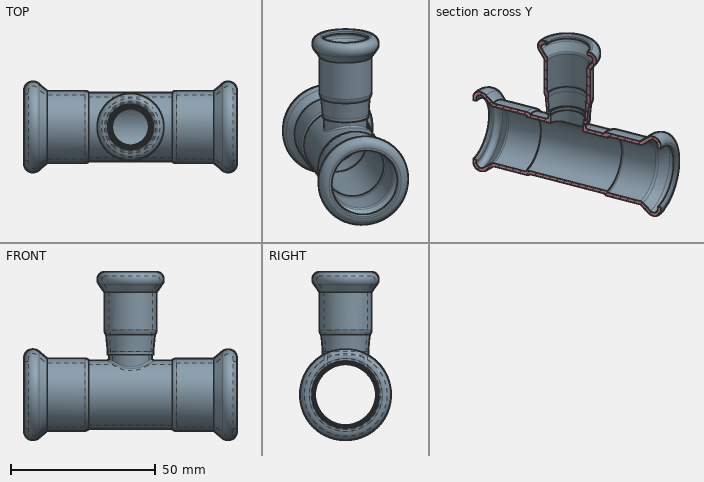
import cadquery as cq
import math

run_length = 74.0
run_pipe_diameter = 24.0
run_pipe_bore = 21.0

branch_mouth_height = 42.7
branch_neck_top_diameter = 17.1
branch_neck_bottom_diameter = 16.0
branch_neck_top_bore = 14.5
branch_neck_bottom_bore = 14.1
branch_foot_bore = 13.0
branch_foot_height = 1.3

stub_diameter = 15.0
stub_bore = 12.6
stub_top = 13.8
stub_fillet = 0.7
selection_margin = 0.2

wall = 1.5
lip_edge_radius = 0.4
groove_blend_radius = 1.5
shoulder_corner_radius = 0.3

run_socket = dict(
    bead_diameter=31.7,
    bead_radius=3.15,
    lip_bore=23.2,
    tube_diameter=25.3,
    bore=22.2,
    cone_end_depth=8.1,
    shoulder_depth=21.1,
    step_length=1.45,
)
branch_socket = dict(
    bead_diameter=23.2,
    bead_radius=2.75,
    lip_bore=15.8,
    tube_diameter=18.3,
    bore=15.2,
    cone_end_depth=7.1,
    shoulder_depth=20.1,
    step_length=1.8,
)


def add_arc(profile, centre, radius, start_angle, end_angle):
    """Add an arc about a centre, with angles in radians from the radial direction."""
    middle_angle = (start_angle + end_angle) / 2
    points = [
        (centre[0] + radius * math.cos(angle), centre[1] + radius * math.sin(angle))
        for angle in (middle_angle, end_angle)
    ]
    return profile.threePointArc(*points)


def press_socket(sizes, mouth, pipe_outside, pipe_inside):
    """Revolve a press socket about Z with its mouth facing up at the given height.

    pipe_outside and pipe_inside list the (radius, height) points of the pipe below the socket,
    from the socket downward.
    """
    tube_radius = sizes["tube_diameter"] / 2
    bore_radius = sizes["bore"] / 2
    lip_radius = sizes["lip_bore"] / 2
    bead_radius = sizes["bead_radius"]
    groove_radius = bead_radius - wall
    bead_centre = (sizes["bead_diameter"] / 2 - bead_radius, mouth - bead_radius)
    cone_end = (tube_radius, mouth - sizes["cone_end_depth"])
    shoulder = mouth - sizes["shoulder_depth"]

    reach_radial = cone_end[0] - bead_centre[0]
    reach_axial = bead_centre[1] - cone_end[1]
    reach = math.hypot(reach_radial, reach_axial)
    cone_tilt = math.asin(bead_radius / reach) - math.atan2(reach_radial, reach_axial)

    step_drop = tube_radius - pipe_outside[0][0]
    step_radius = (sizes["step_length"] ** 2 + step_drop**2) / (2 * step_drop)
    step_angle = math.asin(sizes["step_length"] / step_radius)

    blend_radial = bore_radius + groove_blend_radius
    blend_offset = groove_radius + groove_blend_radius
    blend_drop = (
        blend_offset - (blend_radial - bead_centre[0]) * math.cos(cone_tilt)
    ) / math.sin(cone_tilt)
    blend_centre = (blend_radial, bead_centre[1] - blend_drop)
    blend_start = (
        blend_centre[0] - groove_blend_radius * math.cos(cone_tilt),
        blend_centre[1] + groove_blend_radius * math.sin(cone_tilt),
    )

    profile = cq.Workplane("XZ").moveTo(*pipe_inside[-1])
    for point in reversed(pipe_outside):
        profile = profile.lineTo(*point)
    step_centre = (tube_radius - step_radius, shoulder)
    profile = add_arc(profile, step_centre, step_radius, -step_angle, 0)
    profile = profile.lineTo(*cone_end)
    profile = profile.lineTo(
        bead_centre[0] + bead_radius * math.cos(cone_tilt),
        bead_centre[1] - bead_radius * math.sin(cone_tilt),
    )
    profile = add_arc(profile, bead_centre, bead_radius, -cone_tilt, math.pi / 2)

    lip_edge_centre = (lip_radius + lip_edge_radius, mouth - lip_edge_radius)
    profile = profile.lineTo(lip_edge_centre[0], mouth)
    profile = add_arc(profile, lip_edge_centre, lip_edge_radius, math.pi / 2, math.pi)
    back_edge_centre = (lip_edge_centre[0], mouth - wall + lip_edge_radius)
    profile = profile.lineTo(lip_radius, back_edge_centre[1])
    profile = add_arc(profile, back_edge_centre, lip_edge_radius, math.pi, 3 * math.pi / 2)
    profile = profile.lineTo(bead_centre[0], mouth - wall)
    profile = add_arc(profile, bead_centre, groove_radius, math.pi / 2, -cone_tilt)
    profile = profile.lineTo(*blend_start)
    profile = add_arc(profile, blend_centre, groove_blend_radius, math.pi - cone_tilt, math.pi)

    corner_centre = (bore_radius - shoulder_corner_radius, shoulder + shoulder_corner_radius)
    profile = profile.lineTo(bore_radius, corner_centre[1])
    profile = add_arc(profile, corner_centre, shoulder_corner_radius, 0, -math.pi / 2)
    for point in [(pipe_inside[0][0], shoulder)] + pipe_inside:
        profile = profile.lineTo(*point)
    return profile.close().revolve(360, (0, 0, 0), (0, 1, 0))


def make_run():
    """Two mirrored half runs with sockets, plus the stub for the branch."""
    mouth = run_length / 2
    step_end = mouth - run_socket["shoulder_depth"] - run_socket["step_length"]
    outer_radius = run_pipe_diameter / 2
    bore_radius = run_pipe_bore / 2
    half_run = press_socket(
        run_socket,
        mouth,
        [(outer_radius, step_end), (outer_radius, 0)],
        [(bore_radius, 0)],
    )
    run = half_run.rotate((0, 0, 0), (0, 1, 0), 90)
    run = run.union(half_run.rotate((0, 0, 0), (0, 1, 0), -90))

    stub = cq.Workplane("XY").circle(stub_diameter / 2).extrude(stub_top)
    run_bore = cq.Workplane("YZ").circle(bore_radius).extrude(step_end, both=True)
    run = run.union(stub.cut(run_bore))

    saddle_bottom = math.sqrt(outer_radius**2 - (stub_diameter / 2) ** 2)
    half_width = stub_diameter / 2 + selection_margin
    saddle_box = cq.selectors.BoxSelector(
        (-half_width, -half_width, saddle_bottom - selection_margin),
        (half_width, half_width, outer_radius + selection_margin),
        boundingbox=True,
    )
    run = run.edges(saddle_box).fillet(stub_fillet)
    run = run.cut(cq.Workplane("XY").circle(stub_bore / 2).extrude(stub_top))
    return run.solids()


def make_branch():
    """Press socket with a tapered neck and a short straight foot resting on the stub.

    Inside, a ledge at the bottom of the neck narrows the bore to that of the foot.
    """
    sizes = branch_socket
    mouth = branch_mouth_height
    neck_top = mouth - sizes["shoulder_depth"] - sizes["step_length"]
    neck_bottom = stub_top + branch_foot_height
    outside = [
        (branch_neck_top_diameter / 2, neck_top),
        (branch_neck_bottom_diameter / 2, neck_bottom),
        (branch_neck_bottom_diameter / 2, stub_top),
    ]
    inside = [
        (branch_neck_top_bore / 2, neck_top),
        (branch_neck_bottom_bore / 2, neck_bottom),
        (branch_foot_bore / 2, neck_bottom),
        (branch_foot_bore / 2, stub_top),
    ]
    return press_socket(sizes, mouth, outside, inside)


run_body = make_run()
branch_body = make_branch()
result = cq.Compound.makeCompound([run_body.val(), branch_body.val()])